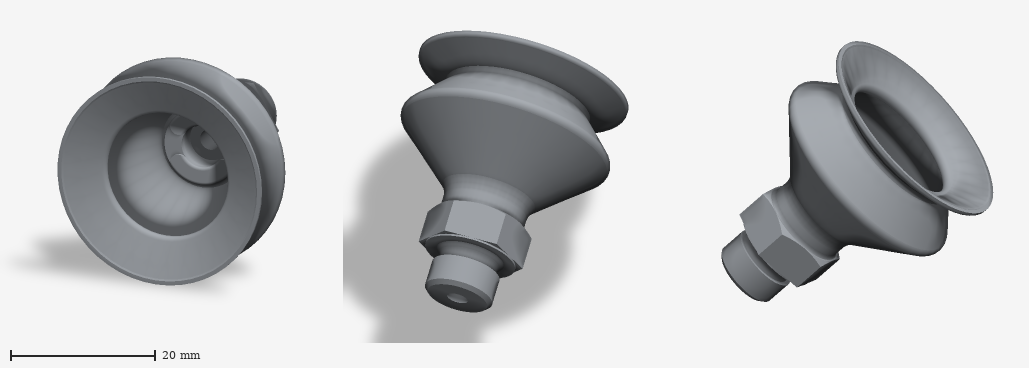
import cadquery as cq
import math

length = 34.0
outer_radius = 30.15 / 2

through_radius = 1.5
counterbore_radius = 3.0
counterbore_depth = 3.4
thread_radius = 4.85
thread_chamfer = 0.58
thread_start = 29.68
groove_radius = 4.05
groove_edge_radius = 4.25
groove_foot_radius = 4.35
groove_foot = 28.12
collar_radius = 13.0 / 2
collar_top = 27.55
hex_across_flats = 2 * collar_radius
hex_bottom = 22.03
hex_top = 27.27
hex_corner_radius = hex_across_flats / math.sqrt(3)
hex_chamfer = (hex_corner_radius - collar_radius) * math.tan(math.radians(30))

neck_radius = 12.0 / 2
neck_flare = 0.27
neck_flare_bow = 0.07
neck_top = 21.5
neck_bottom = 20.13
shoulder_radius = 6.7
shoulder_y = 18.02
shoulder_bow = 0.2
bulge_edge_radius = 14.82
bulge_top = 10.13
bulge_bottom = 8.75
bulge_middle = (bulge_top + bulge_bottom) / 2
waist_radius = 10.45
waist_sag = 0.07
waist_top = 3.98
waist_bottom = 3.1
lip_edge_radius = 14.72
lip_edge_y = 0.85
lip_band = 0.35
lip_bow = 0.1

mouth_radius = 29.0 / 2
mouth_taper_radius = 14.28
mouth_taper_y = 0.17
throat_radius = 8.98
throat_edge_radius = 9.52
throat_bottom = 2.55
throat_middle = 3.4
throat_top = 4.25
chamber_radius = 13.95
chamber_edge_radius = 13.75
chamber_half_band = 0.48
disc_face_radius = 11.0 / 2
disc_rounding = 0.65
disc_radius = disc_face_radius + disc_rounding
disc_bow = disc_rounding * (1 - math.sqrt(0.5))
floor_y = 16.75

pad_height = 0.4
pad_bow = pad_height * (1 - math.sqrt(0.5))
pad_mid_radius = (counterbore_radius + disc_face_radius) / 2
pad_end_radius = (disc_face_radius - counterbore_radius) / 2
pad_end_angle = math.radians(39.2)


def turn(profile):
    """Revolve a closed (radius, y) profile about the Y axis."""
    return profile.close().revolve(360, (0, 0, 0), (0, 1, 0))


def arc_middle(start, end, bow):
    """Point at distance bow to the left of the middle of the chord from start to end."""
    dx = end[0] - start[0]
    dy = end[1] - start[1]
    chord = math.hypot(dx, dy)
    return ((start[0] + end[0]) / 2 - bow * dy / chord, (start[1] + end[1]) / 2 + bow * dx / chord)


def cylinder(radius, start, end):
    """Cylinder on the Y axis between two heights."""
    return cq.Workplane("XZ", origin=(0, start, 0)).circle(radius).extrude(start - end)


def outer_body():
    lip_top = (lip_edge_radius, lip_edge_y)
    lip_side = (outer_radius, lip_band)
    neck_foot = (neck_radius, neck_bottom)
    shoulder = (shoulder_radius, shoulder_y)
    neck_end = (neck_radius, neck_top)
    hex_foot = (neck_radius + neck_flare, hex_bottom)
    profile = (
        cq.Workplane("XY")
        .lineTo(outer_radius, 0)
        .lineTo(*lip_side)
        .threePointArc(arc_middle(lip_side, lip_top, -lip_bow), lip_top)
        .lineTo(waist_radius, waist_bottom)
        .threePointArc((waist_radius - waist_sag, (waist_bottom + waist_top) / 2), (waist_radius, waist_top))
        .lineTo(bulge_edge_radius, bulge_bottom)
        .threePointArc((outer_radius, bulge_middle), (bulge_edge_radius, bulge_top))
        .lineTo(*shoulder)
        .threePointArc(arc_middle(shoulder, neck_foot, shoulder_bow), neck_foot)
        .lineTo(*neck_end)
        .threePointArc(arc_middle(neck_end, hex_foot, neck_flare_bow), hex_foot)
        .lineTo(collar_radius, hex_bottom)
        .lineTo(collar_radius, collar_top)
        .lineTo(thread_radius, collar_top)
        .lineTo(groove_foot_radius, groove_foot)
        .threePointArc((groove_radius, (groove_foot + thread_start) / 2), (groove_edge_radius, thread_start))
        .lineTo(thread_radius, thread_start)
        .lineTo(thread_radius, length - thread_chamfer)
        .lineTo(thread_radius - thread_chamfer, length)
        .lineTo(0, length)
    )
    return turn(profile)


def hexagon():
    """Hexagon with corners on X, its corners bevelled on the bellows side."""
    prism = (
        cq.Workplane("XZ", origin=(0, hex_bottom, 0))
        .polygon(6, 2 * hex_corner_radius)
        .extrude(hex_bottom - hex_top)
    )
    bevel = turn(
        cq.Workplane("XY")
        .moveTo(0, hex_bottom)
        .lineTo(collar_radius, hex_bottom)
        .lineTo(hex_corner_radius, hex_bottom + hex_chamfer)
        .lineTo(hex_corner_radius, hex_top)
        .lineTo(0, hex_top)
    )
    return prism.intersect(bevel)


def cavity():
    chamber_low = (chamber_edge_radius, bulge_middle - chamber_half_band)
    chamber_high = (chamber_edge_radius, bulge_middle + chamber_half_band)
    disc_edge = (disc_radius, floor_y + disc_rounding)
    disc_face_edge = (disc_face_radius, floor_y)
    profile = (
        cq.Workplane("XY")
        .lineTo(mouth_radius, 0)
        .lineTo(mouth_taper_radius, mouth_taper_y)
        .lineTo(throat_edge_radius, throat_bottom)
        .threePointArc((throat_radius, throat_middle), (throat_edge_radius, throat_top))
        .lineTo(*chamber_low)
        .threePointArc((chamber_radius, bulge_middle), chamber_high)
        .lineTo(*disc_edge)
        .threePointArc(arc_middle(disc_edge, disc_face_edge, -disc_bow), disc_face_edge)
        .lineTo(0, floor_y)
    )
    return turn(profile)


def pads():
    """Two kidney pads with quarter-round inner and outer edges and upright rounded ends."""
    top_y = floor_y - pad_height
    inner_foot = (counterbore_radius, floor_y)
    inner_top = (counterbore_radius + pad_height, top_y)
    outer_top = (disc_face_radius - pad_height, top_y)
    outer_foot = (disc_face_radius, floor_y)
    ring = turn(
        cq.Workplane("XY")
        .moveTo(*inner_foot)
        .threePointArc(arc_middle(inner_foot, inner_top, -pad_bow), inner_top)
        .lineTo(*outer_top)
        .threePointArc(arc_middle(outer_top, outer_foot, -pad_bow), outer_foot)
    )

    def on_ring(radius, side):
        return (side * radius * math.cos(pad_end_angle), radius * math.sin(pad_end_angle))

    end_centers = [on_ring(pad_mid_radius, side) for side in (-1, 1)]
    plane = cq.Workplane("XZ", origin=(0, floor_y, 0))
    kidney = (
        plane.moveTo(*on_ring(counterbore_radius, 1))
        .lineTo(*on_ring(disc_face_radius, 1))
        .threePointArc((0, disc_face_radius), on_ring(disc_face_radius, -1))
        .lineTo(*on_ring(counterbore_radius, -1))
        .threePointArc((0, counterbore_radius), on_ring(counterbore_radius, 1))
        .close()
        .extrude(pad_height)
    )
    kidney = kidney.union(plane.pushPoints(end_centers).circle(pad_end_radius).extrude(pad_height))
    upper_pad = ring.intersect(kidney)
    return upper_pad.union(upper_pad.mirror("XY"))


result = outer_body().union(hexagon()).cut(cavity()).union(pads())
result = result.cut(cylinder(counterbore_radius, floor_y, floor_y + counterbore_depth))
result = result.cut(cylinder(through_radius, floor_y, length))